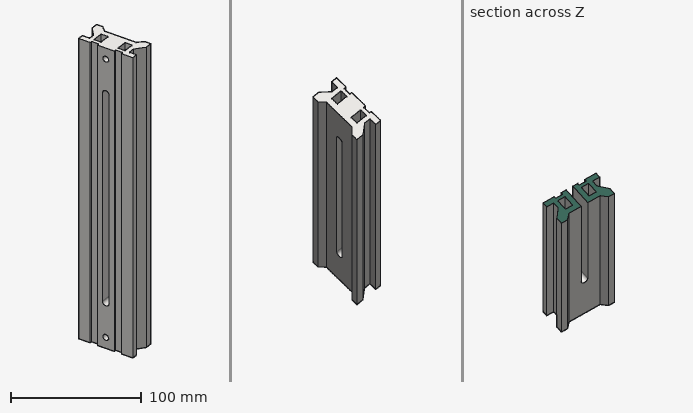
import cadquery as cq
import math

length = 270.0
width = 50.0
depth = 24.5

half_width = width / 2
flange_thickness = 5.0
wall_half_width = 18.4
wall_end_y = 10.5
wing_outer_y = 18.4
wing_inner_half_width = 19.2
web_y = 20.0
web_half_width = wing_inner_half_width - (depth - web_y)

channel_inner_x = 7.8
channel_outer_x = 14.3
channel_width = channel_outer_x - channel_inner_x
channel_center_x = (channel_inner_x + channel_outer_x) / 2
channel_top_y = 14.8
groove_depth = 2.0

slot_length = 193.3
slot_width = 6.0
hole_diameter = 5.0
hole_depth = 13.5
hole_end_distance = 10.0
drill_point_angle = 118.0


def make_body():
    """Extrude the mirrored outline of the rail."""
    right_side = [
        (half_width, 0),
        (half_width, flange_thickness),
        (wall_half_width, flange_thickness),
        (wall_half_width, wall_end_y),
        (half_width, wing_outer_y),
        (half_width, depth),
        (wing_inner_half_width, depth),
        (web_half_width, web_y),
    ]
    left_side = [(-x, y) for x, y in reversed(right_side)]
    return cq.Workplane("XY").polyline(right_side + left_side).close().extrude(length)


def make_channel(center_x, start_y, end_y):
    """Rectangular cutter running the full length of the rail."""
    return (
        cq.Workplane("XY")
        .center(center_x, (start_y + end_y) / 2)
        .rect(channel_width, end_y - start_y)
        .extrude(length)
    )


def make_slot():
    """Round-ended cutter through the rail along Y."""
    return (
        cq.Workplane("XZ")
        .center(0, length / 2)
        .slot2D(slot_length, slot_width, 90)
        .extrude(-depth)
    )


def make_drilled_hole(z):
    """Blind hole cutter with a conical drill point, entering at Y = 0."""
    radius = hole_diameter / 2
    point_height = radius / math.tan(math.radians(drill_point_angle / 2))
    half_section = [
        (0, 0),
        (radius, 0),
        (radius, hole_depth),
        (0, hole_depth + point_height),
    ]
    return (
        cq.Workplane("XY", origin=(0, 0, z))
        .polyline(half_section)
        .close()
        .revolve(360, (0, 0), (0, 1))
    )


result = make_body()
for x in (-channel_center_x, channel_center_x):
    result = result.cut(make_channel(x, flange_thickness, channel_top_y))
    result = result.cut(make_channel(x, 0, groove_depth))
result = result.cut(make_slot())
for z in (hole_end_distance, length - hole_end_distance):
    result = result.cut(make_drilled_hole(z))